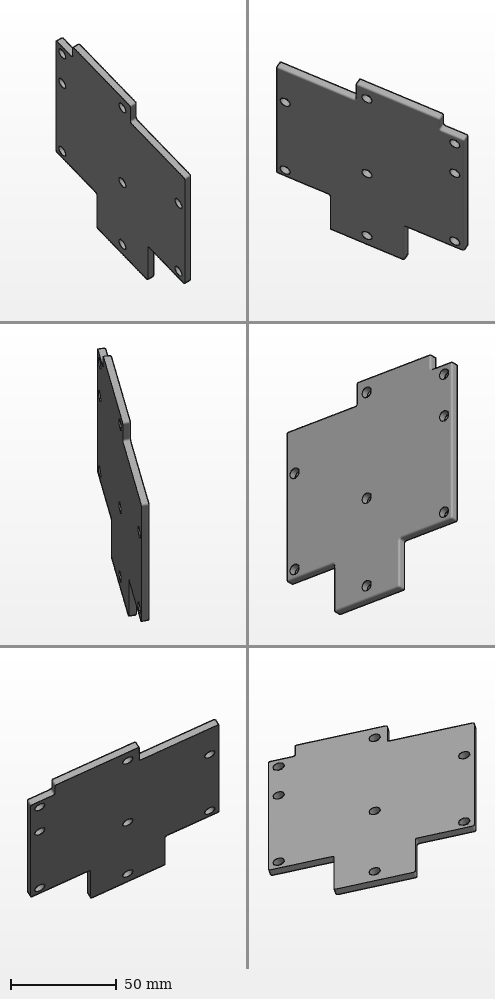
import cadquery as cq

width = 100.8
height = 118.6
thickness = 3.9

tab_left = 32.0
tab_width = 40.0
tab_right = tab_left + tab_width
bottom_shoulder = 26.0
crown_left = 13.0
crown_right = 58.2
left_shoulder = 110.3
right_shoulder = 106.3
corner_radius = 1.1
edge_radius = 1.0

hole_diameter = 5.3
hole_inset = 5.0
center_x = tab_left + tab_width / 2
left_x = hole_inset
right_x = width - hole_inset
low_row = bottom_shoulder + hole_inset
high_row = 82.5
corner_hole_height = 105.0
center_line_heights = (7.4, 54.3, 111.1)


def make_blank():
    """Stepped plate standing in the XZ plane, with rounded corners."""
    outline = [
        (tab_left, 0),
        (tab_right, 0),
        (tab_right, bottom_shoulder),
        (width, bottom_shoulder),
        (width, right_shoulder),
        (crown_right, right_shoulder),
        (crown_right, height),
        (crown_left, height),
        (crown_left, left_shoulder),
        (0, left_shoulder),
        (0, bottom_shoulder),
        (tab_left, bottom_shoulder),
    ]
    plate = cq.Workplane("XZ").polyline(outline).close().extrude(-thickness)
    return plate.edges("|Y").fillet(corner_radius)


def make_holes():
    """Cylinders for the plate's through holes."""
    centers = [(x, z) for x in (left_x, right_x) for z in (low_row, high_row)]
    centers += [(center_x, z) for z in center_line_heights]
    centers.append((left_x, corner_hole_height))
    holes = cq.Workplane("XZ").pushPoints(centers)
    return holes.circle(hole_diameter / 2).extrude(-thickness)


blank = make_blank().faces(">Y").edges().fillet(edge_radius)
result = blank.cut(make_holes())